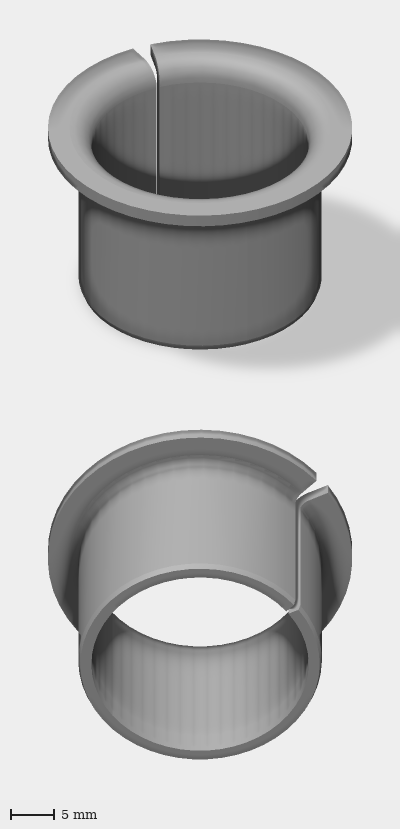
import cadquery as cq
import math

flange_radius = 17.5
bore_radius = 12.5
wall = 1.5
height = 21.5

outer_bend_radius = 1.0
inner_bend_radius = outer_bend_radius + wall

taper_height = 0.7
taper_inset = 0.25

slit_half_width_at_bore = 0.2
slit_half_angle = 10.0

sleeve_radius = bore_radius + wall
bend_center_radius = sleeve_radius + outer_bend_radius
bend_center_z = height - inner_bend_radius
flange_bottom = height - wall


def bend_middle(radius):
    """Midpoint of a quarter arc of the bend, as (radial, z)."""
    offset = radius * math.sqrt(0.5)
    return (bend_center_radius - offset, bend_center_z + offset)


def flanged_sleeve():
    """Revolve the wall section around Z."""
    return (
        cq.Workplane("XZ")
        .moveTo(bore_radius, 0)
        .lineTo(sleeve_radius - taper_inset, 0)
        .lineTo(sleeve_radius, taper_height)
        .lineTo(sleeve_radius, bend_center_z)
        .threePointArc(bend_middle(outer_bend_radius), (bend_center_radius, flange_bottom))
        .lineTo(flange_radius, flange_bottom)
        .lineTo(flange_radius, height)
        .lineTo(bend_center_radius, height)
        .threePointArc(bend_middle(inner_bend_radius), (bore_radius, bend_center_z))
        .close()
        .revolve(360, (0, 0, 0), (0, 1, 0))
    )


def slit_cutter():
    """Triangular prism with its point inside the bore, opening outwards along -X."""
    slope = math.tan(math.radians(slit_half_angle))
    point_radius = bore_radius - slit_half_width_at_bore / slope
    outer_reach = 1.2 * flange_radius
    outer_half_width = (outer_reach - point_radius) * slope
    corners = [
        (-point_radius, 0),
        (-outer_reach, outer_half_width),
        (-outer_reach, -outer_half_width),
    ]
    return cq.Workplane("XY").polyline(corners).close().extrude(height)


result = flanged_sleeve().cut(slit_cutter())